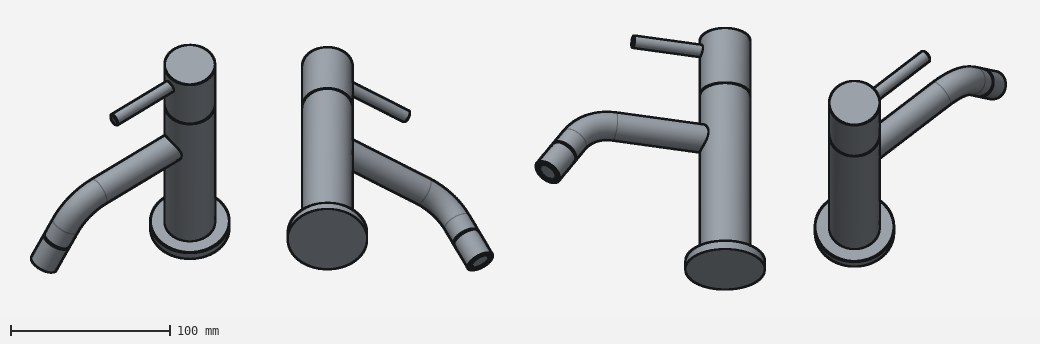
import cadquery as cq
import math

total_height = 166.8
column_diameter = 32.0
flange_diameter = 50.0
flange_height = 6.5
flange_chamfer = 0.5

handle_height = 40.2
handle_chamfer = 0.3
lever_diameter = 8.0
lever_drop = 10.0
lever_reach = 60.0
lever_chamfer = 0.5

spout_diameter = 18.0
spout_axis_height = 93.0
spout_straight_reach = 72.2
bend_radius = 30.9
bend_angle = 56.5
spout_end_length = 12.3

aerator_length = 19.0
aerator_chamfer = 0.5
screen_diameter = 12.0
screen_groove_width = 1.3
screen_groove_depth = 0.8

column_top = total_height - handle_height
turn = math.radians(bend_angle)


def bend_point(angle):
    """Point (y, z) on the spout axis after bending down by the given angle."""
    y = -spout_straight_reach - bend_radius * math.sin(angle)
    z = spout_axis_height - bend_radius * (1 - math.cos(angle))
    return y, z


bend_middle = bend_point(turn / 2)
bend_end = bend_point(turn)
outlet_direction = cq.Vector(0, -math.cos(turn), -math.sin(turn))
spout_tip = cq.Vector(0, *bend_end) + outlet_direction * spout_end_length


def make_main_body():
    """Flange, column and spout in one piece."""
    flange = (
        cq.Workplane("XY")
        .circle(flange_diameter / 2)
        .extrude(flange_height)
        .faces(">Z")
        .chamfer(flange_chamfer)
    )
    column = (
        cq.Workplane("XY")
        .circle(column_diameter / 2)
        .extrude(column_top)
        .faces(">Z")
        .chamfer(handle_chamfer)
    )
    spout_path = (
        cq.Workplane("YZ")
        .moveTo(0, spout_axis_height)
        .lineTo(-spout_straight_reach, spout_axis_height)
        .threePointArc(bend_middle, bend_end)
        .lineTo(spout_tip.y, spout_tip.z)
    )
    spout = (
        cq.Workplane("XZ", origin=(0, 0, spout_axis_height))
        .circle(spout_diameter / 2)
        .sweep(spout_path)
        .faces(cq.selectors.DirectionMinMaxSelector(outlet_direction))
        .chamfer(aerator_chamfer)
    )
    return flange.union(column).union(spout)


def make_handle():
    """Cap standing on the column, with its lever pointing along the spout."""
    cap = (
        cq.Workplane("XY", origin=(0, 0, column_top))
        .circle(column_diameter / 2)
        .extrude(handle_height)
        .faces("<Z or >Z")
        .chamfer(handle_chamfer)
    )
    lever = (
        cq.Workplane("XZ", origin=(0, 0, total_height - lever_drop))
        .circle(lever_diameter / 2)
        .extrude(lever_reach)
        .faces("<Y")
        .chamfer(lever_chamfer)
    )
    return cap.union(lever)


def make_aerator():
    """Sleeve turned about the outlet axis; profile points are (radius, distance from spout tip)."""
    sleeve_radius = spout_diameter / 2
    screen_radius = screen_diameter / 2
    across = cq.Vector(1, 0, 0)
    profile_plane = cq.Plane(
        origin=spout_tip,
        xDir=across,
        normal=across.cross(outlet_direction),
    )
    return (
        cq.Workplane(profile_plane)
        .moveTo(0, 0)
        .lineTo(sleeve_radius - aerator_chamfer, 0)
        .lineTo(sleeve_radius, aerator_chamfer)
        .lineTo(sleeve_radius, aerator_length)
        .lineTo(screen_radius + screen_groove_width, aerator_length)
        .lineTo(screen_radius + screen_groove_width, aerator_length - screen_groove_depth)
        .lineTo(screen_radius, aerator_length - screen_groove_depth)
        .lineTo(screen_radius, aerator_length)
        .lineTo(0, aerator_length)
        .close()
        .revolve(360, (0, 0), (0, 1))
    )


main_body = make_main_body()
handle = make_handle()
aerator = make_aerator()

result = cq.Compound.makeCompound([body.solids().val() for body in (main_body, handle, aerator)])